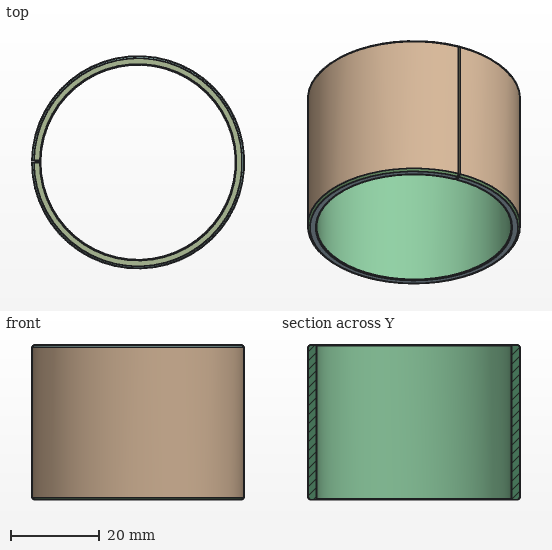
import cadquery as cq

outer_diameter = 48.0
bore_diameter = 44.0
length = 35.0
outer_chamfer = 0.5
inner_chamfer = 0.2
slit_angle = 1.0

full_turn = 360.0
outer_radius = outer_diameter / 2
bore_radius = bore_diameter / 2
half_length = length / 2


def wall_section():
    """Wall cross-section on the -X side, chamfered at both end faces."""
    points = [
        (-bore_radius, -half_length + inner_chamfer),
        (-bore_radius - inner_chamfer, -half_length),
        (-outer_radius + outer_chamfer, -half_length),
        (-outer_radius, -half_length + outer_chamfer),
        (-outer_radius, half_length - outer_chamfer),
        (-outer_radius + outer_chamfer, half_length),
        (-bore_radius - inner_chamfer, half_length),
        (-bore_radius, half_length - inner_chamfer),
    ]
    return cq.Workplane("XZ").polyline(points).close()


def split_bushing():
    """Sweep the wall around Z, stopping short so a slit stays open just on the +Y side of -X."""
    axis_start = (0, 0, 0)
    axis_end = (0, 1, 0)
    return wall_section().revolve(full_turn - slit_angle, axis_start, axis_end)


result = split_bushing()